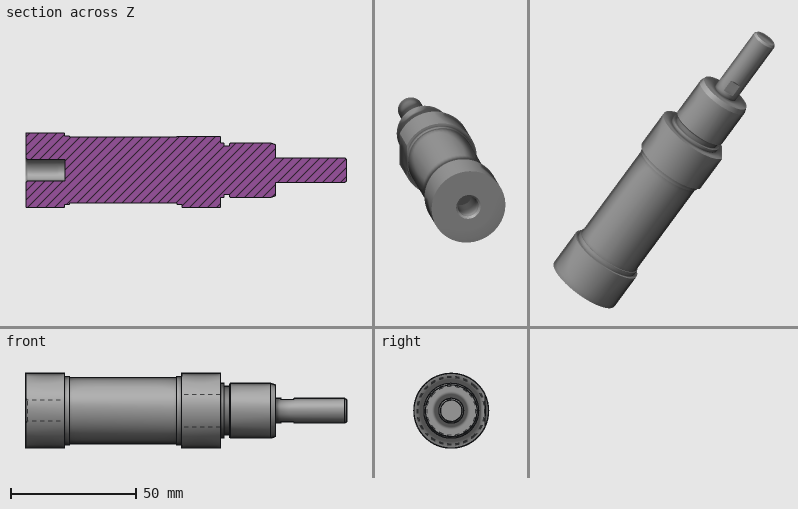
import cadquery as cq


back_cap_end = 15.6
spigot_length = 2.0
front_collar_start = 62.4
front_collar_end = 78.0
neck_shoulder_length = 1.4
relief_groove_length = 2.1
thread_end = 100.0
rod_end = 128.5

cap_diameter = 30.0
spigot_diameter = 27.5
tube_diameter = 26.6
thread_diameter = 22.0
relief_groove_diameter = 19.6
rod_diameter = 10.0

thread_start_chamfer = 0.5
thread_nose_length = 2.0
thread_nose_depth = 0.7
rod_tip_length = 0.9
rod_tip_depth = 0.7

collar_flat_distance = 13.5

wrench_flat_start = 102.1
wrench_flat_end = 107.1
wrench_flat_width = 9.0

port_diameter = 8.4
port_mouth_diameter = 10.0
port_chamfer = (port_mouth_diameter - port_diameter) / 2
port_depth = back_cap_end


def make_body():
    """Turn the caps, tube, threaded neck and rod as one revolved profile."""
    cap_radius = cap_diameter / 2
    spigot_radius = spigot_diameter / 2
    tube_radius = tube_diameter / 2
    thread_radius = thread_diameter / 2
    groove_radius = relief_groove_diameter / 2
    rod_radius = rod_diameter / 2

    tube_start = back_cap_end + spigot_length
    tube_end = front_collar_start - spigot_length
    groove_start = front_collar_end + neck_shoulder_length
    groove_end = groove_start + relief_groove_length

    profile = [
        (0, 0),
        (0, cap_radius),
        (back_cap_end, cap_radius),
        (back_cap_end, spigot_radius),
        (tube_start, spigot_radius),
        (tube_start, tube_radius),
        (tube_end, tube_radius),
        (tube_end, spigot_radius),
        (front_collar_start, spigot_radius),
        (front_collar_start, cap_radius),
        (front_collar_end, cap_radius),
        (front_collar_end, thread_radius),
        (groove_start, thread_radius),
        (groove_start, groove_radius),
        (groove_end, groove_radius),
        (groove_end, thread_radius - thread_start_chamfer),
        (groove_end + thread_start_chamfer, thread_radius),
        (thread_end - thread_nose_length, thread_radius),
        (thread_end, thread_radius - thread_nose_depth),
        (thread_end, rod_radius),
        (rod_end - rod_tip_length, rod_radius),
        (rod_end, rod_radius - rod_tip_depth),
        (rod_end, 0),
    ]
    return cq.Workplane("XY").polyline(profile).close().revolve(360, (0, 0), (1, 0))


def cut_collar_flat(body):
    """Shave the +Y side of the front collar and its spigot."""
    start = front_collar_start - spigot_length
    cutter = cq.Workplane("XY").box(
        front_collar_end - start, cap_diameter, cap_diameter, centered=(False, False, True)
    )
    return body.cut(cutter.translate((start, collar_flat_distance, 0)))


def cut_wrench_flats(body):
    """Cut the two opposed flats, each with a 45 degree ramp at its front end."""
    half_width = wrench_flat_width / 2
    cut_height = rod_diameter / 2
    for side in (1, -1):
        cutter = (
            cq.Workplane("XZ")
            .moveTo(wrench_flat_start, side * half_width)
            .lineTo(wrench_flat_end, side * half_width)
            .lineTo(wrench_flat_end + cut_height, side * (half_width + cut_height))
            .lineTo(wrench_flat_start, side * (half_width + cut_height))
            .close()
            .extrude(rod_diameter / 2, both=True)
        )
        body = body.cut(cutter)
    return body


def cut_port(body):
    """Bore the blind port from the rear face, with a 45 degree chamfered mouth."""
    profile = [
        (0, 0),
        (0, port_mouth_diameter / 2),
        (port_chamfer, port_diameter / 2),
        (port_depth, port_diameter / 2),
        (port_depth, 0),
    ]
    cutter = cq.Workplane("XY").polyline(profile).close().revolve(360, (0, 0), (1, 0))
    return body.cut(cutter)


body = make_body()
body = cut_collar_flat(body)
body = cut_wrench_flats(body)
result = cut_port(body)